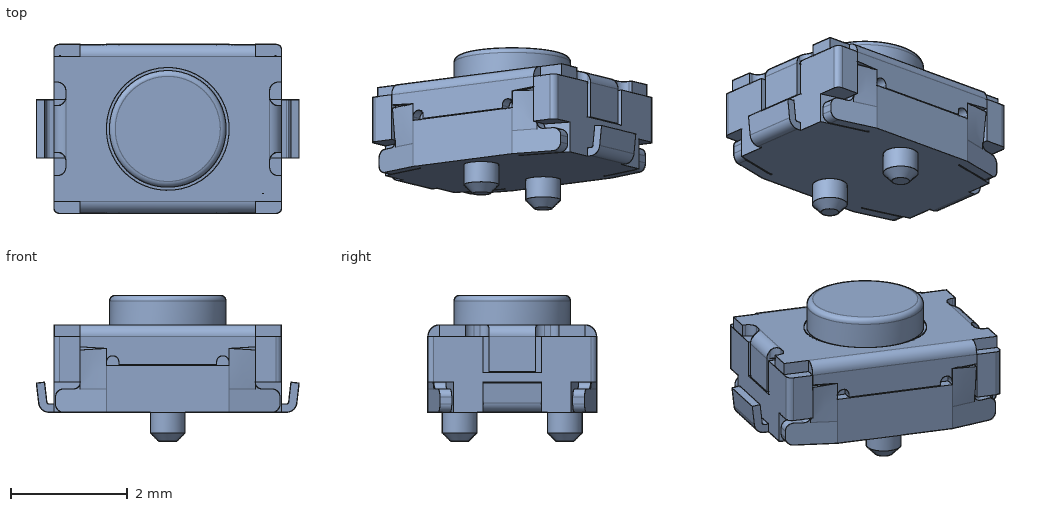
import cadquery as cq
import math

total_length = 4.5
total_height = 2.5
body_length = 3.9
body_width = 2.9
body_height = 1.5
sheet = 0.202
seam = 0.015
cover_setback = 0.005

button_diameter = 2.0
button_recess_diameter = 2.1
button_recess_depth = 0.02
button_fillet = 0.1
pin_diameter = 0.6
pin_length = 0.5
pin_chamfer = 0.15
pin_offset = 0.9

flap_half_length = 1.5
corner_fillet = 0.1
tab_half_width = 0.4
tab_bottom = 0.698
tab_groove = 0.1
relief_width = 0.4
relief_fillet = 0.15

panel_half_length = 1.05
panel_top = 0.8
wing_end = 1.92
wing_top = 1.065
window_low = 1.095
window_high = 1.12
twist_inset = 0.022
wing_arm_top = 0.4
wing_inset = 0.21
wing_corner_fillet = 0.14
wing_inner_fillet = 0.112
wing_gap = 0.022
bump_width = 0.21
bump_top = 0.968
post_bottom = 0.518

terminal_half_width = 0.5
terminal_thickness = 0.145
terminal_height = 0.518
terminal_inner_fillet = 0.035
terminal_lean = math.radians(6.5)

half_length = body_length / 2
half_width = body_width / 2
cover_half_length = half_length - cover_setback
cover_half_width = half_width - cover_setback
shoulder = body_height - sheet
button_top = total_height - pin_length
wing_slope = wing_inset / (wing_end - panel_half_length)


def box(x_range, y_range, z_range):
    """Box between the given limits along each axis."""
    size = [high - low for low, high in (x_range, y_range, z_range)]
    corner = (x_range[0], y_range[0], z_range[0])
    return cq.Workplane("XY").box(*size, centered=False).translate(corner)


def on_both_ends(shape):
    """The shape together with its mirror image across the YZ plane."""
    return shape.union(shape.mirror("YZ"))


def on_both_sides(shape):
    """The shape together with its mirror image across the XZ plane."""
    return shape.union(shape.mirror("XZ"))


def on_all_corners(shape):
    return on_both_sides(on_both_ends(shape))


def make_body():
    """Housing with rounded posts, under a cover whose side edges are bent down."""
    housing = cq.Workplane("XY").box(body_length, body_width, shoulder, centered=(True, True, False))
    housing = housing.edges("|Z").fillet(corner_fillet)
    plate = (
        cq.Workplane("XY")
        .workplane(offset=shoulder)
        .box(2 * cover_half_length, 2 * (cover_half_width - sheet), sheet, centered=(True, True, False))
    )
    flaps = (
        cq.Workplane("XY")
        .box(2 * flap_half_length, 2 * cover_half_width, body_height, centered=(True, True, False))
        .edges("|X and >Z")
        .fillet(sheet)
    )
    setback = box(
        (-flap_half_length, flap_half_length), (-half_width, -cover_half_width), (panel_top, shoulder)
    )
    return housing.cut(on_both_sides(setback)).union(plate).union(flaps)


def cut_end_tab(body):
    """Bend the end tabs down and free them with relief holes and grooves."""
    inner_x = cover_half_length - sheet
    groove_edge = tab_half_width + tab_groove
    bend_edge = tab_half_width + relief_fillet

    bend_block = box(
        (inner_x - sheet, cover_half_length), (-bend_edge, bend_edge), (shoulder - sheet, body_height)
    )
    bend_round = bend_block.edges("|Y and >X and >Z").fillet(sheet)
    body = body.cut(on_both_ends(bend_block.cut(bend_round)))

    setback = box(
        (cover_half_length, half_length), (-groove_edge, groove_edge), (tab_bottom - seam, body_height)
    )
    body = body.cut(on_both_ends(setback))

    relief = box(
        (inner_x, half_length + sheet),
        (tab_half_width, tab_half_width + relief_width),
        (shoulder, body_height),
    )
    relief = relief.edges("|Z and <X").fillet(relief_fillet)
    body = body.cut(on_all_corners(relief))

    groove = box((inner_x, half_length), (tab_half_width, groove_edge), (tab_bottom - seam, shoulder))
    tab_seam = box((inner_x, half_length), (-groove_edge, groove_edge), (tab_bottom - seam, tab_bottom))
    return body.cut(on_all_corners(groove)).cut(on_both_ends(tab_seam))


def wing_plan(offset_out, offset_in, height):
    """Prism along the sloping wing, between two offsets measured inward from its outer face."""
    drop = wing_slope * (half_length - panel_half_length)
    return (
        cq.Workplane("XY")
        .polyline(
            [
                (panel_half_length, -half_width + offset_out),
                (half_length, -half_width + drop + offset_out),
                (half_length, -half_width + drop + offset_in),
                (panel_half_length, -half_width + offset_in),
            ]
        )
        .close()
        .extrude(height)
    )


def make_wing():
    """L-shaped wing: tall beside the panel, with a low arm reaching to the body end."""
    outline = (
        cq.Workplane("XZ")
        .moveTo(panel_half_length, 0)
        .lineTo(wing_end, 0)
        .lineTo(wing_end, wing_arm_top)
        .lineTo(flap_half_length, wing_arm_top)
        .lineTo(flap_half_length, wing_top)
        .lineTo(panel_half_length, wing_top)
        .close()
        .extrude(half_width)
    )
    outline = outline.edges("|Y and >X").fillet(wing_corner_fillet)
    inner_corner = cq.selectors.NearestToPointSelector((flap_half_length, -half_width / 2, wing_arm_top))
    outline = outline.edges(inner_corner).fillet(wing_inner_fillet)
    plate = outline.intersect(wing_plan(0, sheet, body_height))
    return plate.union(make_wing_twist())


def make_wing_twist():
    """Twisted skin that carries the upper wing corner back out towards the flap face."""
    outer_y = -half_width
    inner_y = outer_y + sheet
    drop = wing_slope * (flap_half_length - panel_half_length)
    return (
        cq.Workplane("YZ", origin=(panel_half_length, 0, 0))
        .polyline(
            [
                (outer_y, wing_arm_top),
                (inner_y, wing_arm_top),
                (inner_y, window_low),
                (outer_y, window_low),
            ]
        )
        .close()
        .workplane(offset=flap_half_length - panel_half_length)
        .polyline(
            [
                (outer_y + drop, wing_arm_top),
                (inner_y + drop, wing_arm_top),
                (inner_y + drop, wing_top),
                (outer_y + twist_inset, wing_top),
            ]
        )
        .close()
        .loft(ruled=True)
    )


def cut_wing_space(body):
    """Open the flap windows in front of the wings and the corners under the posts."""
    window = (
        cq.Workplane("XZ")
        .moveTo(panel_half_length, 0)
        .lineTo(flap_half_length, 0)
        .lineTo(flap_half_length, window_high)
        .lineTo(panel_half_length, window_low)
        .close()
        .extrude(half_width)
        .intersect(wing_plan(-body_width, 0, body_height))
    )
    notch = wing_plan(-body_width, sheet + wing_gap, post_bottom)
    return body.cut(on_all_corners(window.union(notch)))


def cut_flap_edge(body):
    """Seam between flap and panel, ending in a round-topped bump at each end."""
    radius = bump_width / 2
    inner_x = panel_half_length - bump_width
    flap_seam = box(
        (-inner_x, inner_x), (-half_width, -half_width + sheet), (panel_top, panel_top + seam)
    )
    bump = (
        cq.Workplane("XZ", origin=(0, -half_width + sheet, 0))
        .moveTo(inner_x, panel_top)
        .lineTo(panel_half_length, panel_top)
        .lineTo(panel_half_length, bump_top - radius)
        .threePointArc((inner_x + radius, bump_top), (inner_x, bump_top - radius))
        .close()
        .extrude(sheet)
    )
    return body.cut(on_both_sides(flap_seam)).cut(on_all_corners(bump))


def make_terminal():
    """Bottom strip leaving the body end and bent up, leaning outward."""
    lean_x = math.sin(terminal_lean)
    lean_z = math.cos(terminal_lean)
    tip_x = total_length / 2
    tip_z = terminal_height - terminal_thickness * lean_x
    inner_tip_x = tip_x - terminal_thickness * lean_z
    slope = math.tan(terminal_lean)
    inner_corner_x = inner_tip_x - (terminal_height - terminal_thickness) * slope
    terminal = (
        cq.Workplane("XZ", origin=(0, terminal_half_width, 0))
        .moveTo(half_length - sheet, 0)
        .lineTo(tip_x - tip_z * slope, 0)
        .lineTo(tip_x, tip_z)
        .lineTo(inner_tip_x, terminal_height)
        .lineTo(inner_corner_x, terminal_thickness)
        .lineTo(half_length - sheet, terminal_thickness)
        .close()
        .extrude(2 * terminal_half_width)
    )
    bend = cq.selectors.NearestToPointSelector((tip_x - tip_z * slope, 0, 0))
    inner_bend = cq.selectors.NearestToPointSelector((inner_corner_x, 0, terminal_thickness))
    terminal = terminal.edges(bend).fillet(terminal_thickness + terminal_inner_fillet)
    return terminal.edges(inner_bend).fillet(terminal_inner_fillet)


def add_button(body):
    """Round button standing in a slightly larger, shallow recess of the cover."""
    recess = (
        cq.Workplane("XY")
        .workplane(offset=body_height - button_recess_depth)
        .circle(button_recess_diameter / 2)
        .extrude(button_recess_depth)
    )
    button = (
        cq.Workplane("XY")
        .workplane(offset=shoulder)
        .circle(button_diameter / 2)
        .extrude(button_top - shoulder)
        .faces(">Z")
        .edges()
        .fillet(button_fillet)
    )
    return body.cut(recess).union(button)


def make_pins():
    """Two chamfered locating pins under the body."""
    return (
        cq.Workplane("XY")
        .pushPoints([(0, -pin_offset), (0, pin_offset)])
        .circle(pin_diameter / 2)
        .extrude(-pin_length)
        .faces("<Z")
        .edges()
        .chamfer(pin_chamfer)
    )


body = make_body()
body = cut_end_tab(body)
body = cut_wing_space(body)
body = cut_flap_edge(body)
body = body.union(on_all_corners(make_wing()))
body = body.union(on_both_ends(make_terminal()))
body = add_button(body)
result = body.union(make_pins())